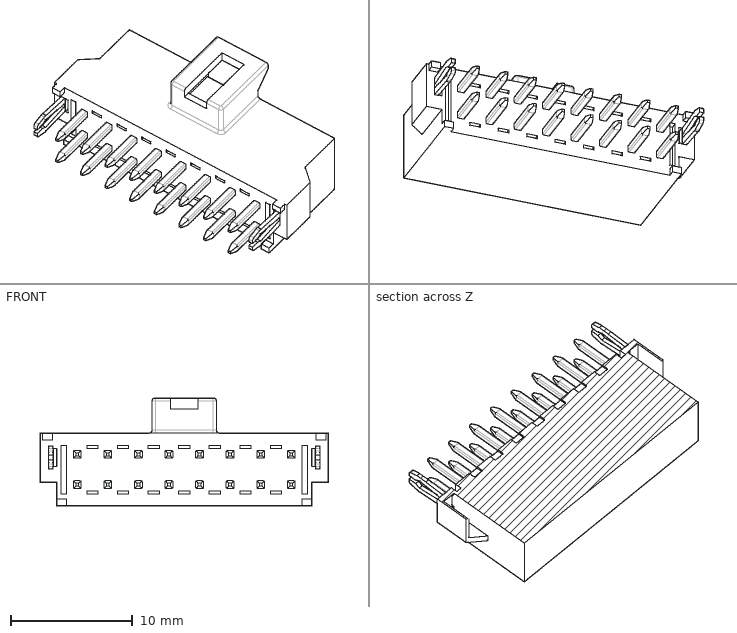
import cadquery as cq
import math


overall_width = 23.65
body_width = 20.92
body_depth = 8.5
body_height = 5.99
ear_height = 4.05
ear_side_depth = 3.25
ear_root_depth = 4.4
body_side = body_width / 2
ear_side = overall_width / 2
ear_bottom = body_height - ear_height

ear_skin = 0.2
ear_front_wall = 0.6
pocket_wall = 0.6
window_width = 0.25
window_height = 1.47

foot_size = 0.6
foot_width = 0.8
top_foot_inset = 0.21

pitch = 2.5
pin_columns = 8
pin_size = 0.65
pin_corner_radius = 0.12
pin_length = 3.8
pin_tip_length = 0.78
pin_tip_size = 0.24
lower_row_height = 1.75
row_spacing = 2.48
row_heights = (lower_row_height, lower_row_height + row_spacing)

slot_depth = 0.6
slot_width = 0.92
slot_height = 0.25
upper_slot_height = 4.85
slot_row_spacing = 3.75
end_slot_width = 0.47
end_slot_center = 9.9
lower_slot_height = upper_slot_height - slot_row_spacing

lock_thickness = 0.35
lock_center = 10.95
lock_height = 3.97
lock_root_half_height = 0.78
lock_barb_half_height = 0.95
lock_barb_reach = 2.7
lock_barb_half_length = 0.12
lock_barb_rise = 0.035
lock_nose_start = 3.6
lock_nose_half_height = 0.73
lock_tip_half_height = 0.52
lock_tip_gap = 0.21
lock_barb_gap = 0.43
lock_barb_gap_reach = 2.65
lock_tip_gap_reach = 3.08
lock_gap_end_radius = 0.17

tower_width = 5.3
tower_height = 2.86
tower_front = 3.43
tower_overhang = 1.42
tower_ledge = 0.62
tower_corner_radius = 0.28
tower_top_radius = 0.24
tower_base_radius = 0.24

latch_width = 2.25
latch_cavity_width = 4.78
latch_front_wall = 0.55
latch_end = 8.64
latch_lip_drop = 0.88
latch_floor_depth = 0.47
latch_lead_in = 0.17


def block(x_range, y_range, z_range):
    """Box given by its lower and upper limits along each axis."""
    size = [high - low for low, high in (x_range, y_range, z_range)]
    corner = (x_range[0], y_range[0], z_range[0])
    return cq.Workplane("XY").box(*size, centered=False).translate(corner)


def centered_range(center, size):
    return (center - size / 2, center + size / 2)


def both_ends(shape):
    """The shape together with its mirror image at the other end of the connector."""
    return shape.union(shape.mirror("YZ"))


def make_housing():
    body = block((-body_side, body_side), (0, body_depth), (0, body_height))
    ears = (
        cq.Workplane("XY", origin=(0, 0, ear_bottom))
        .polyline([
            (-ear_side, 0),
            (ear_side, 0),
            (ear_side, ear_side_depth),
            (body_side, ear_root_depth),
            (-body_side, ear_root_depth),
            (-ear_side, ear_side_depth),
        ])
        .close()
        .extrude(ear_height)
    )
    return body.union(ears)


def make_ear_openings():
    pocket = block(
        (body_side, ear_side - ear_skin),
        (ear_front_wall, ear_root_depth),
        (ear_bottom + pocket_wall, body_height - pocket_wall),
    )
    window = block(
        (body_side, body_side + window_width),
        (0, ear_front_wall),
        centered_range(lock_height, window_height),
    )
    return both_ends(pocket.union(window))


def make_feet():
    top_outer = ear_side - top_foot_inset
    top_foot = block(
        (top_outer - foot_width, top_outer), (-foot_size, 0), (body_height - foot_size, body_height)
    )
    bottom_foot = block((body_side - foot_width, body_side), (-foot_size, 0), (0, foot_size))
    return both_ends(top_foot.union(bottom_foot))


def make_front_slots():
    slots = both_ends(
        block(
            centered_range(end_slot_center, end_slot_width),
            (0, slot_depth),
            (lower_slot_height - slot_height / 2, upper_slot_height + slot_height / 2),
        )
    )
    for column in range(pin_columns - 1):
        x = (column - (pin_columns - 2) / 2) * pitch
        for z in (lower_slot_height, upper_slot_height):
            slot = block(
                centered_range(x, slot_width), (0, slot_depth), centered_range(z, slot_height)
            )
            slots = slots.union(slot)
    return slots


def make_pin():
    """Square pin with rounded edges, pointing toward -Y, cut to a pyramid at its tip."""
    shank_length = pin_length - pin_tip_length
    bar = (
        cq.Workplane("XZ")
        .rect(pin_size, pin_size)
        .extrude(pin_length)
        .edges("|Y")
        .fillet(pin_corner_radius)
    )
    shank = cq.Workplane("XZ").rect(pin_size, pin_size).extrude(shank_length)
    tip = (
        cq.Workplane("XZ", origin=(0, -shank_length, 0))
        .rect(pin_size, pin_size)
        .workplane(offset=pin_tip_length)
        .rect(pin_tip_size, pin_tip_size)
        .loft(ruled=True)
    )
    return bar.intersect(shank.union(tip))


def make_pins():
    pin = make_pin()
    pins = cq.Workplane("XY")
    for column in range(pin_columns):
        x = (column - (pin_columns - 1) / 2) * pitch
        for z in row_heights:
            pins = pins.add(pin.translate((x, 0, z)))
    return pins.combine()


def make_board_locks():
    """Blades with two arms that bulge into barbs, parted by a gap with a round end."""
    barb_shoulder = lock_barb_half_height - lock_barb_rise
    gap_middle = lock_gap_end_radius * math.sqrt(0.5)
    upper_arm = (
        cq.Workplane("YZ")
        .moveTo(ear_front_wall, 0)
        .lineTo(ear_front_wall, lock_root_half_height)
        .lineTo(0, lock_root_half_height)
        .lineTo(-(lock_barb_reach - lock_barb_half_length), barb_shoulder)
        .threePointArc(
            (-lock_barb_reach, lock_barb_half_height),
            (-(lock_barb_reach + lock_barb_half_length), barb_shoulder),
        )
        .lineTo(-lock_nose_start, lock_nose_half_height)
        .tangentArcPoint((-pin_length, lock_tip_half_height), relative=False)
        .lineTo(-pin_length, lock_tip_gap)
        .lineTo(-lock_tip_gap_reach, lock_tip_gap)
        .lineTo(-lock_barb_gap_reach, lock_barb_gap)
        .lineTo(-lock_gap_end_radius, lock_gap_end_radius)
        .threePointArc((gap_middle - lock_gap_end_radius, gap_middle), (0, 0))
        .close()
        .extrude(lock_thickness / 2, both=True)
    )
    blade = upper_arm.union(upper_arm.mirror("XY"))
    return both_ends(blade.translate((lock_center, 0, lock_height)))


def make_tower():
    """Hooked latch tower, its foot blended into the housing by a rounded flare."""
    top = body_height + tower_height
    ledge_end = body_depth + tower_overhang
    ledge_bottom = top - tower_ledge
    tower = (
        cq.Workplane("YZ")
        .polyline([
            (tower_front, body_height),
            (tower_front, top),
            (ledge_end, top),
            (ledge_end, ledge_bottom),
            (body_depth, ledge_bottom - tower_overhang),
            (body_depth, body_height),
        ])
        .close()
        .extrude(tower_width / 2, both=True)
    )
    tower = tower.edges("|Z and <Y").fillet(tower_corner_radius)
    return tower.faces(">Z").edges("not >Y").fillet(tower_top_radius)


def make_latch_opening():
    """Top slot over a wider cavity that runs out at the back under the crossbar,
    its floor sunk into the housing and chamfered at the back.
    """
    top = body_height + tower_height
    opening_x = centered_range(0, latch_width)
    crossbar_bottom = top - latch_lip_drop
    floor = body_height - latch_floor_depth
    upper_part = block(opening_x, (tower_front, latch_end), (crossbar_bottom, top))
    lower_part = block(
        centered_range(0, latch_cavity_width),
        (tower_front + latch_front_wall, body_depth + tower_overhang),
        (floor, crossbar_bottom),
    )
    lead_in = (
        cq.Workplane("YZ")
        .polyline([
            (body_depth - latch_lead_in, floor),
            (body_depth, floor),
            (body_depth, floor - latch_lead_in),
        ])
        .close()
        .extrude(latch_cavity_width / 2, both=True)
    )
    return upper_part.union(lower_part).union(lead_in)


housing = make_housing().union(make_tower())

margin = 0.02
tower_foot = cq.selectors.BoxSelector(
    (-tower_width, tower_front - margin, body_height - margin),
    (tower_width, body_depth - margin, body_height + margin),
)
housing = housing.edges(tower_foot).fillet(tower_base_radius)

result = (
    housing
    .cut(make_latch_opening())
    .cut(make_ear_openings())
    .cut(make_front_slots())
    .union(make_feet())
    .union(make_pins())
    .union(make_board_locks())
)